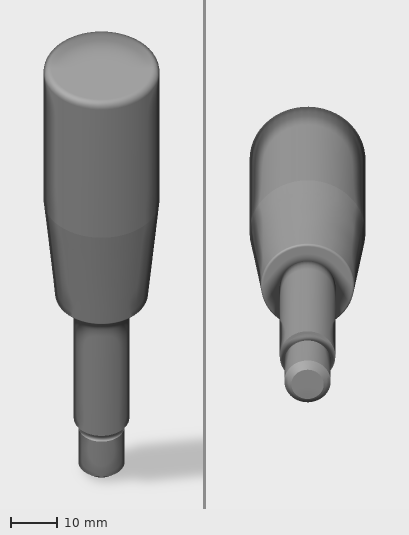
import cadquery as cq
import math

total_length = 114.0
grip_length = 65.0
grip_straight_length = 38.0
thread_length = 14.0

grip_diameter = 25.0
grip_base_diameter = 20.0
grip_top_fillet = 1.5
grip_base_fillet = 0.5

spindle_diameter = 12.0
thread_diameter = 10.0
tip_diameter = 7.0
tip_chamfer = (thread_diameter - tip_diameter) / 2

groove_diameter = 8.3
groove_width = 2.5
groove_fillet = 1.2
groove_depth = (thread_diameter - groove_diameter) / 2

grip_base_z = total_length - grip_length
grip_taper_z = total_length - grip_straight_length


def make_grip():
    """Cylindrical grip tapering towards its base, with both rims rounded."""
    grip = (
        cq.Workplane("XZ")
        .moveTo(0, grip_base_z)
        .lineTo(grip_base_diameter / 2, grip_base_z)
        .lineTo(grip_diameter / 2, grip_taper_z)
        .lineTo(grip_diameter / 2, total_length)
        .lineTo(0, total_length)
        .close()
        .revolve(360, (0, 0, 0), (0, 1, 0))
    )
    grip = grip.faces(">Z").edges().fillet(grip_top_fillet)
    return grip.faces("<Z").edges().fillet(grip_base_fillet)


def make_pin():
    """Spindle, rounded relief groove and chamfered threaded end as one turned profile."""
    tip_radius = tip_diameter / 2
    thread_radius = thread_diameter / 2
    groove_radius = groove_diameter / 2
    spindle_radius = spindle_diameter / 2
    groove_bottom_z = thread_length - groove_width

    sweep_angle = math.acos(1 - groove_depth / groove_fillet)
    lower_arc_top_z = groove_bottom_z + groove_fillet * math.sin(sweep_angle)
    lower_arc_middle = (
        groove_radius + groove_fillet * (1 - math.cos(sweep_angle / 2)),
        lower_arc_top_z - groove_fillet * math.sin(sweep_angle / 2),
    )

    quarter_offset = groove_fillet * (1 - math.sqrt(0.5))
    upper_arc_middle = (groove_radius + quarter_offset, thread_length - quarter_offset)

    return (
        cq.Workplane("XZ")
        .moveTo(0, 0)
        .lineTo(tip_radius, 0)
        .lineTo(thread_radius, tip_chamfer)
        .lineTo(thread_radius, groove_bottom_z)
        .threePointArc(lower_arc_middle, (groove_radius, lower_arc_top_z))
        .lineTo(groove_radius, thread_length - groove_fillet)
        .threePointArc(upper_arc_middle, (groove_radius + groove_fillet, thread_length))
        .lineTo(spindle_radius, thread_length)
        .lineTo(spindle_radius, grip_base_z)
        .lineTo(0, grip_base_z)
        .close()
        .revolve(360, (0, 0, 0), (0, 1, 0))
    )


result = make_grip().union(make_pin())